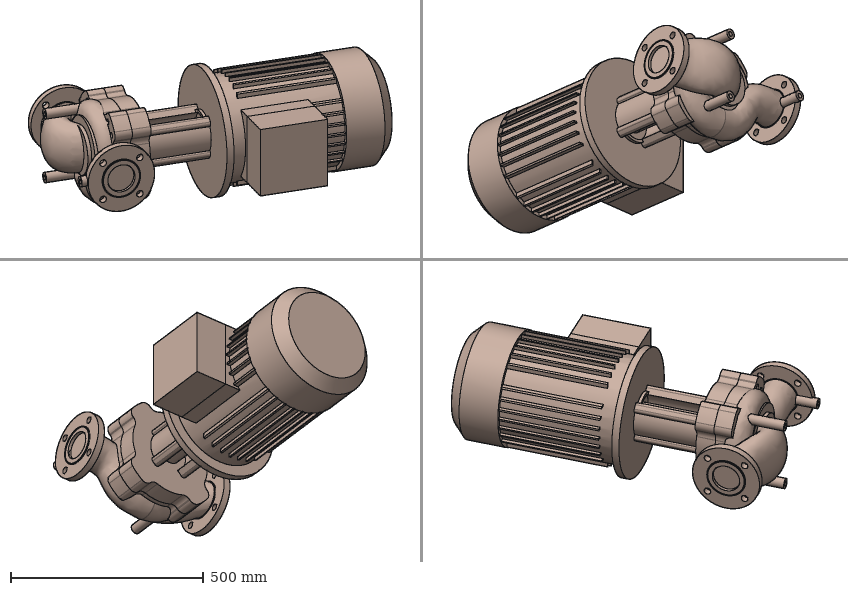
import cadquery as cq
import math


PLUG_TIP_Y = -108.0
EYE_FACE_Y = -36.0
COVER_FACE_Y = -25.0
CASING_FRONT_Y = 16.0
CASING_JOINT_Y = 65.0
LANTERN_FLANGE_Y = 117.0
MOTOR_FLANGE_Y = 309.5
MOTOR_NECK_Y = 329.0
FIN_START_Y = 373.0
BOX_END_Y = 561.0
FAN_COVER_Y = 650.5
FAN_TAPER_Y = 758.0
MOTOR_END_Y = 790.0

MOTOR_FLANGE_RADIUS = 175.0
MOTOR_RADIUS = 145.0
FIN_RADIUS = 155.0
FAN_COVER_RADIUS = 157.0
FAN_END_RADIUS = 125.0
FIN_THICKNESS = 4.5
FIN_SPACING = 28.0
FINS_PER_SIDE = 7
BOX_HEIGHT = 188.0
BOX_SEAT_X = 157.0
BOX_OUTER_X = 250.0

LANTERN_RADIUS = 63.0
LANTERN_BORE_RADIUS = 50.0
RIB_TIP_RADIUS = 75.0
RIB_WIDTH = 27.0
RIB_ROUND = 8.0
COLLAR_RADIUS = 58.5
COLLAR_LENGTH = 9.0
SHAFT_RADIUS = 30.0

CASING_RADIUS = 121.5
LOBE_TIP_RADIUS = 153.0
LOBE_WIDTH = 79.0
LOBE_ROUND = 21.0
LOBE_HOLE_DIAMETER = 14.0
LOBE_HOLE_CIRCLE = 250.0
LOBE_HOLE_OFFSET = 9.0
COVER_RADIUS = 91.0
EYE_RADIUS = 67.0

VOLUTE_Y = 13.0
VOLUTE_BOTTOM_ORBIT = 101.0
VOLUTE_TOP_ORBIT = 91.0
VOLUTE_BOTTOM_TUBE = 44.0
VOLUTE_TOP_TUBE = 33.0
VOLUTE_TURN = 297.0
VOLUTE_SECTIONS = 10

PORT_FACE_X = 215.0
PIPE_RADIUS = 50.0
SPIGOT_RADIUS = 53.0
SPIGOT_CHAMFER = 3.0
PORT_RECESS_DIAMETER = 76.0
PORT_RECESS_DEPTH = 9.0
FLANGE_DIAMETER = 185.0
FLANGE_THICKNESS = 20.0
FLANGE_BACK_X = PORT_FACE_X - FLANGE_THICKNESS
BOLT_CIRCLE = 145.0
BOLT_HOLE_DIAMETER = 18.0
DISCHARGE_TURN = 66.0
ELBOW_CENTER_X = -67.0
ELBOW_BEND_RADIUS = 64.0
ELBOW_START_HEADING = -28.0
ELBOW_HALF_WIDTH = 46.0
ELBOW_SWELL = (69.0, 48.0)
ELBOW_BEND_STATIONS = [(ELBOW_START_HEADING, 77.0), (0, 76.0), (30, 72.0), (60, 67.0), (90, 62.0)]

PLUG_DIAMETER = 28.0
PLUG_HOLE_DIAMETER = 13.0
PLUG_HOLE_DEPTH = 9.0
VOLUTE_PLUG_X = -58.5
VOLUTE_PLUG_Z = 90.0
VOLUTE_PLUG_SEAT_Y = 0.0
PORT_PLUG_X = 196.0
PORT_PLUG_SEAT_Y = -40.5


def disc(radius, start_y, end_y, x=0.0, z=0.0):
    """Cylinder along Y from start_y to end_y."""
    return cq.Workplane("XZ", origin=(x, start_y, z)).circle(radius).extrude(start_y - end_y)


def diagonal_bars(width, tip_radius, corner_radius, start_y, end_y):
    """Cross of two bars at 45 degrees in XZ, with tips on a circle and rounded tip corners."""
    cross = None
    for angle in (45, -45):
        bar = (
            cq.Workplane("XZ", origin=(0, start_y, 0))
            .transformed(rotate=(0, 0, angle))
            .rect(2 * tip_radius + 18, width)
            .extrude(start_y - end_y)
            .intersect(disc(tip_radius, start_y, end_y))
            .edges("|Y")
            .fillet(corner_radius)
        )
        cross = bar if cross is None else cross.union(bar)
    return cross


def circle_section(center, direction, start, radius):
    """Circular wire whose seam lies on the start side."""
    plane = cq.Plane(origin=center, xDir=start, normal=direction)
    return cq.Workplane(plane).circle(radius).wires().val()


def ellipse_section(center, direction, half_height, half_width):
    """Elliptical wire with its longer axis along Z and its seam underneath."""
    plane = cq.Plane(origin=center, xDir=(0, 0, -1), normal=direction)
    return cq.Workplane(plane).ellipse(half_height, half_width).wires().val()


def loft(sections):
    return cq.Workplane(obj=cq.Solid.makeLoft(sections))


def motor_fins():
    fins = None
    length = FAN_COVER_Y - FIN_START_Y
    reach = 2 * FIN_RADIUS + 18
    middle_y = (FAN_COVER_Y + FIN_START_Y) / 2
    for i in range(FINS_PER_SIDE):
        offset = (i - (FINS_PER_SIDE - 1) / 2) * FIN_SPACING
        upright = cq.Workplane().box(FIN_THICKNESS, length, reach).translate((offset, middle_y, 0))
        level = cq.Workplane().box(reach, length, FIN_THICKNESS).translate((0, middle_y, offset))
        pair = upright.union(level)
        fins = pair if fins is None else fins.union(pair)
    return fins.intersect(disc(FIN_RADIUS, FIN_START_Y, FAN_COVER_Y))


def box_block(start_x, end_x):
    """Part of the terminal box envelope between two X positions."""
    size = (end_x - start_x, BOX_END_Y - FIN_START_Y, BOX_HEIGHT)
    center = ((start_x + end_x) / 2, (BOX_END_Y + FIN_START_Y) / 2, 0)
    return cq.Workplane().box(*size).translate(center)


def make_motor():
    body = (
        cq.Workplane("XY")
        .moveTo(0, MOTOR_FLANGE_Y)
        .lineTo(MOTOR_FLANGE_RADIUS, MOTOR_FLANGE_Y)
        .lineTo(MOTOR_FLANGE_RADIUS, MOTOR_NECK_Y)
        .lineTo(MOTOR_RADIUS, MOTOR_NECK_Y)
        .lineTo(MOTOR_RADIUS, FAN_COVER_Y)
        .lineTo(FAN_COVER_RADIUS, FAN_COVER_Y)
        .lineTo(FAN_COVER_RADIUS, FAN_TAPER_Y)
        .lineTo(FAN_END_RADIUS, MOTOR_END_Y)
        .lineTo(0, MOTOR_END_Y)
        .close()
        .revolve(360, (0, 0, 0), (0, 1, 0))
    )
    return body.union(motor_fins()).union(box_block(0, BOX_SEAT_X))


def make_terminal_box():
    return box_block(BOX_SEAT_X, BOX_OUTER_X)


def lobed_block(start_y, end_y):
    """Round casing slice with four diagonal lobes, blended into the round by concave fillets."""
    block = disc(CASING_RADIUS, start_y, end_y).union(
        diagonal_bars(LOBE_WIDTH, LOBE_TIP_RADIUS, LOBE_ROUND, start_y, end_y)
    )

    def is_lobe_root(edge):
        center = edge.Center()
        return math.hypot(center.x, center.z) < CASING_RADIUS + 1.0 and abs(center.z) > 9

    return block.edges("|Y").filter(is_lobe_root).fillet(LOBE_ROUND)


def make_lantern():
    flange = lobed_block(CASING_JOINT_Y, LANTERN_FLANGE_Y)
    window_apex = RIB_WIDTH / math.sqrt(2)
    reach = RIB_TIP_RADIUS + 18
    collar_y = MOTOR_FLANGE_Y - COLLAR_LENGTH
    posts = disc(LANTERN_RADIUS, LANTERN_FLANGE_Y, MOTOR_FLANGE_Y).union(
        diagonal_bars(RIB_WIDTH, RIB_TIP_RADIUS, RIB_ROUND, LANTERN_FLANGE_Y, MOTOR_FLANGE_Y)
    )
    for side in (1, -1):
        window = (
            cq.Workplane("XZ", origin=(0, LANTERN_FLANGE_Y, 0))
            .polyline([(0, side * window_apex), (reach, side * (window_apex + reach)),
                       (-reach, side * (window_apex + reach))])
            .close()
            .extrude(LANTERN_FLANGE_Y - MOTOR_FLANGE_Y)
        )
        posts = posts.cut(window)
    posts = posts.union(disc(COLLAR_RADIUS, collar_y, MOTOR_FLANGE_Y))
    posts = posts.cut(disc(LANTERN_BORE_RADIUS, LANTERN_FLANGE_Y, MOTOR_FLANGE_Y))
    return flange.union(posts)


def make_shaft():
    return disc(SHAFT_RADIUS, LANTERN_FLANGE_Y, MOTOR_FLANGE_Y)


def volute_tube():
    sections = []
    for i in range(VOLUTE_SECTIONS):
        turn = VOLUTE_TURN * i / (VOLUTE_SECTIONS - 1)
        angle = math.radians(-90 - turn)
        orbit = VOLUTE_BOTTOM_ORBIT + (VOLUTE_TOP_ORBIT - VOLUTE_BOTTOM_ORBIT) * turn / 180
        tube = VOLUTE_BOTTOM_TUBE + (VOLUTE_TOP_TUBE - VOLUTE_BOTTOM_TUBE) * turn / 180
        outward = (math.cos(angle), 0, math.sin(angle))
        along = (math.sin(angle), 0, -math.cos(angle))
        sections.append(
            circle_section((orbit * outward[0], VOLUTE_Y, orbit * outward[2]), along, (0, 1, 0), tube)
        )
    return loft(sections)


def discharge_pipe():
    """S-bend: an arc about the shaft axis, a reverse arc, then straight along +X to the port."""
    turn = math.radians(DISCHARGE_TURN)
    drop = VOLUTE_BOTTOM_ORBIT * math.cos(turn)
    reverse_radius = drop / (1 - math.cos(turn))
    inflection_x = VOLUTE_BOTTOM_ORBIT * math.sin(turn)
    straight_x = inflection_x + reverse_radius * math.sin(turn)
    start = (0, VOLUTE_Y, -VOLUTE_BOTTOM_ORBIT)
    inflection = (inflection_x, VOLUTE_Y / 2, -drop)
    end = (FLANGE_BACK_X, 0, 0)
    path = cq.Edge.makeSpline(
        [cq.Vector(*start), cq.Vector(*inflection), cq.Vector(straight_x, 0, 0), cq.Vector(*end)],
        tangents=[
            cq.Vector(1, 0, 0),
            cq.Vector(math.cos(turn), 0, math.sin(turn)),
            cq.Vector(1, 0, 0),
            cq.Vector(1, 0, 0),
        ],
    )
    sections = [
        circle_section(start, (1, 0, 0), (0, 0, -1), VOLUTE_BOTTOM_TUBE),
        circle_section(end, (1, 0, 0), (0, 0, -1), PIPE_RADIUS),
    ]
    return cq.Workplane(obj=cq.Solid.sweep_multi(sections, path))


def elbow_bend_section(heading, half_height):
    """Section of the suction bend where its centre line heads at an angle from +X towards +Y."""
    angle = math.radians(heading)
    x = ELBOW_CENTER_X + ELBOW_BEND_RADIUS * math.sin(angle)
    y = -ELBOW_BEND_RADIUS * math.cos(angle)
    return ellipse_section((x, y, 0), (math.cos(angle), math.sin(angle), 0), half_height, ELBOW_HALF_WIDTH)


def suction_elbow():
    """Oblique pipe from the suction port that swells and bends into the pump eye."""
    port = circle_section((-FLANGE_BACK_X, 0, 0), (1, 0, 0), (0, 0, -1), PIPE_RADIUS)
    slope = math.radians(ELBOW_START_HEADING)
    bend_start = cq.Vector(math.sin(slope), -math.cos(slope), 0) * ELBOW_BEND_RADIUS
    middle = (cq.Vector(ELBOW_CENTER_X - FLANGE_BACK_X, 0, 0) + bend_start) * 0.5
    swell = ellipse_section(middle.toTuple(), (math.cos(slope), math.sin(slope), 0), *ELBOW_SWELL)
    bend = [elbow_bend_section(heading, half_height) for heading, half_height in ELBOW_BEND_STATIONS]
    return loft([port, swell, *bend])


def port_disc(side, radius, depth):
    """Cylinder along X from the port face on one side (-1 or 1) inward by depth."""
    return cq.Workplane("YZ", origin=(side * PORT_FACE_X, 0, 0)).circle(radius).extrude(-side * depth)


def lobe_holes():
    """A pair of blind bolt holes in the front of each lobe."""
    angles = [lobe + side * LOBE_HOLE_OFFSET for lobe in (45, 135, 225, 315) for side in (-1, 1)]
    radius = LOBE_HOLE_CIRCLE / 2
    points = [(radius * math.cos(math.radians(a)), radius * math.sin(math.radians(a))) for a in angles]
    return (
        cq.Workplane("XZ", origin=(0, CASING_FRONT_Y, 0))
        .pushPoints(points)
        .circle(LOBE_HOLE_DIAMETER / 2)
        .extrude(CASING_FRONT_Y - CASING_JOINT_Y)
    )


def plug_seats():
    """Position and seat depth of every plug: x, z, seat y."""
    return [
        (VOLUTE_PLUG_X, VOLUTE_PLUG_Z, VOLUTE_PLUG_SEAT_Y),
        (VOLUTE_PLUG_X, -VOLUTE_PLUG_Z, VOLUTE_PLUG_SEAT_Y),
        (PORT_PLUG_X, 0, PORT_PLUG_SEAT_Y),
    ]


def plug_shank(x, z, seat_y):
    return disc(PLUG_DIAMETER / 2, PLUG_TIP_Y, seat_y, x, z)


def make_casing():
    casing = lobed_block(CASING_FRONT_Y, CASING_JOINT_Y).cut(lobe_holes())
    casing = casing.union(disc(COVER_RADIUS, COVER_FACE_Y, CASING_FRONT_Y))
    casing = casing.union(disc(EYE_RADIUS, EYE_FACE_Y, COVER_FACE_Y))
    casing = casing.union(volute_tube()).union(discharge_pipe()).union(suction_elbow())
    for side in (-1, 1):
        spigot = port_disc(side, SPIGOT_RADIUS, FLANGE_THICKNESS)
        casing = casing.union(spigot.faces("<X" if side < 0 else ">X").chamfer(SPIGOT_CHAMFER))
        casing = casing.cut(port_disc(side, PORT_RECESS_DIAMETER / 2, PORT_RECESS_DEPTH))
    for seat in plug_seats():
        casing = casing.cut(plug_shank(*seat))
    return casing


def make_port_flange(side):
    hole_pitch = BOLT_CIRCLE / math.sqrt(2)
    bolt_holes = (
        cq.Workplane("YZ", origin=(side * PORT_FACE_X, 0, 0))
        .rect(hole_pitch, hole_pitch, forConstruction=True)
        .vertices()
        .circle(BOLT_HOLE_DIAMETER / 2)
        .extrude(-side * FLANGE_THICKNESS)
    )
    flange = port_disc(side, FLANGE_DIAMETER / 2, FLANGE_THICKNESS)
    flange = flange.cut(port_disc(side, SPIGOT_RADIUS, FLANGE_THICKNESS)).cut(bolt_holes)
    for seat in plug_seats():
        flange = flange.cut(plug_shank(*seat))
    return flange


def make_plug(x, z, seat_y):
    socket = disc(PLUG_HOLE_DIAMETER / 2, PLUG_TIP_Y, PLUG_TIP_Y + PLUG_HOLE_DEPTH, x, z)
    return plug_shank(x, z, seat_y).cut(socket)


motor = make_motor()
terminal_box = make_terminal_box()
lantern = make_lantern()
shaft = make_shaft()
casing = make_casing()
port_flanges = [make_port_flange(side) for side in (-1, 1)]
plugs = [make_plug(*seat) for seat in plug_seats()]

result = cq.Compound.makeCompound(
    [
        motor.val(),
        terminal_box.val(),
        lantern.val(),
        shaft.val(),
        casing.val(),
        *[flange.val() for flange in port_flanges],
        *[plug.val() for plug in plugs],
    ]
)